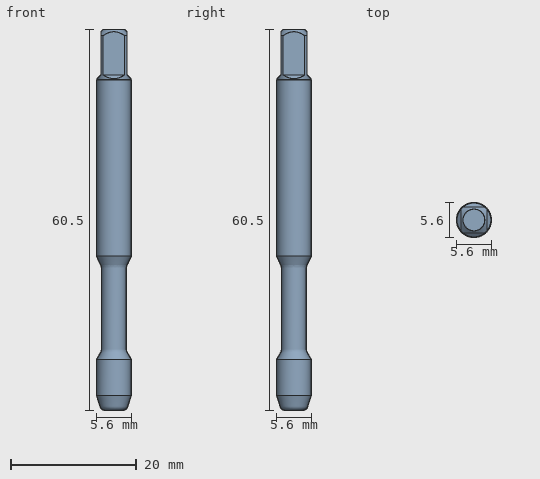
import cadquery as cq

length = 60.55
body_radius = 5.6 / 2
neck_radius = 4.0 / 2
square_corner_radius = 5.4 / 2

tip_radius = 2.0
tip_fillet = 0.9
lead_height = 2.4
head_height = 8.1

neck_bottom = 9.45
neck_top = 22.9
neck_fillet = 0.8
shank_bottom = 24.5
shank_top = 52.5
shank_chamfer = body_radius - square_corner_radius
square_bottom = 53.35
square_width = 4.2
end_chamfer = 0.95


def revolve_profile(points):
    """Turn (radius, height) points, closed along the Z axis, into a solid."""
    bottom = points[0][1]
    top = points[-1][1]
    outline = [(0, bottom), *points, (0, top)]
    return cq.Workplane("XZ").polyline(outline).close().revolve(360, (0, 0), (0, 1))


def make_head():
    head = revolve_profile([
        (tip_radius, 0),
        (body_radius, lead_height),
        (body_radius, head_height),
    ])
    return head.faces("<Z").edges().fillet(tip_fillet)


def make_flat_cutter():
    """Cutter for one flat of the square, with a floor falling outwards at 45 degrees."""
    inner = square_width / 2
    outer = 2 * body_radius
    floor_drop = outer - inner
    profile = [
        (inner, square_bottom),
        (outer, square_bottom - floor_drop),
        (outer, length),
        (inner, length),
    ]
    return cq.Workplane("XZ").polyline(profile).close().extrude(body_radius, both=True)


def make_shaft():
    shaft = revolve_profile([
        (body_radius, head_height),
        (neck_radius, neck_bottom),
        (neck_radius, neck_top),
        (body_radius, shank_bottom),
        (body_radius, shank_top),
        (square_corner_radius, shank_top + shank_chamfer),
        (square_corner_radius, length - end_chamfer),
        (square_corner_radius - end_chamfer, length),
    ])
    neck_ends = cq.selectors.RadiusNthSelector(1)
    shaft = shaft.edges("%CIRCLE").edges(neck_ends).fillet(neck_fillet)
    cutter = make_flat_cutter()
    for quarter in range(4):
        shaft = shaft.cut(cutter.rotate((0, 0, 0), (0, 0, 1), 90 * quarter))
    return shaft


head = make_head()
shaft = make_shaft()

result = cq.Compound.makeCompound([head.val(), shaft.val()])